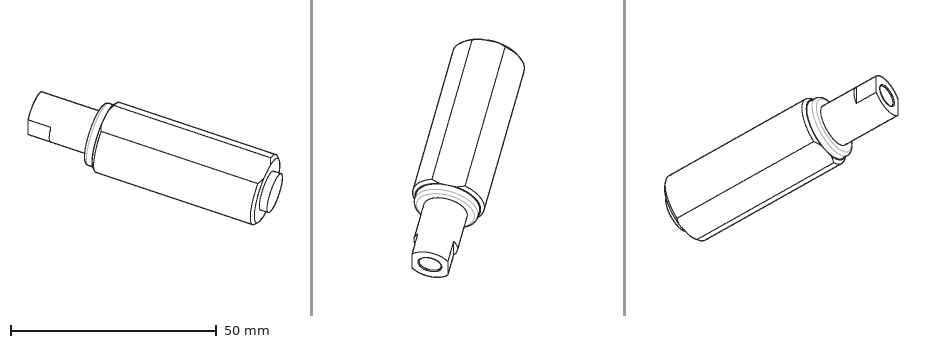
import cadquery as cq

total_length = 63.0
flats_length = 6.0
collar_start = 16.0
sleeve_start = 18.35
sleeve_end = 61.0

shaft_diameter = 10.95
wrench_width = 9.0
collar_diameter = 16.0
collar_fillet = 0.75
stem_diameter = 10.0
bore_diameter = 5.5
bore_depth = 12.0
bore_chamfer = 0.25

sleeve_diameter = 18.0
sleeve_flat_width = 16.0
sleeve_chamfer = 0.75


def cylinder(diameter, start, end):
    """Solid cylinder on the X axis between two stations."""
    return cq.Workplane("YZ", origin=(start, 0, 0)).circle(diameter / 2).extrude(end - start)


def make_spindle():
    """Shaft, collar and stem, with wrench flats and a blind bore in the front end."""
    wrench_bar = cq.Workplane("XY").box(2 * flats_length, wrench_width, shaft_diameter)
    flatted_end = cylinder(shaft_diameter, 0, flats_length).intersect(wrench_bar)
    plain_shaft = cylinder(shaft_diameter, flats_length, collar_start)
    collar = cylinder(collar_diameter, collar_start, sleeve_start).faces("<X").edges().fillet(collar_fillet)
    stem = cylinder(stem_diameter, sleeve_start, total_length)
    spindle = flatted_end.union(plain_shaft).union(collar).union(stem)

    bore = cylinder(bore_diameter, 0, bore_depth)
    bore_radius = bore_diameter / 2
    bore_mouth = cq.Solid.makeCone(
        bore_radius + bore_chamfer, bore_radius, bore_chamfer, dir=cq.Vector(1, 0, 0)
    )
    return spindle.cut(bore).cut(bore_mouth)


def make_sleeve():
    """Chamfered round sleeve with flats above and below, bored for the stem."""
    sleeve = cylinder(sleeve_diameter, sleeve_start, sleeve_end).edges().chamfer(sleeve_chamfer)
    flats = cq.Workplane("XY").box(2 * total_length, sleeve_diameter, sleeve_flat_width)
    stem_hole = cylinder(stem_diameter, sleeve_start, sleeve_end)
    return sleeve.intersect(flats).cut(stem_hole)


spindle = make_spindle()
sleeve = make_sleeve()
result = cq.Compound.makeCompound([spindle.val(), sleeve.val()])